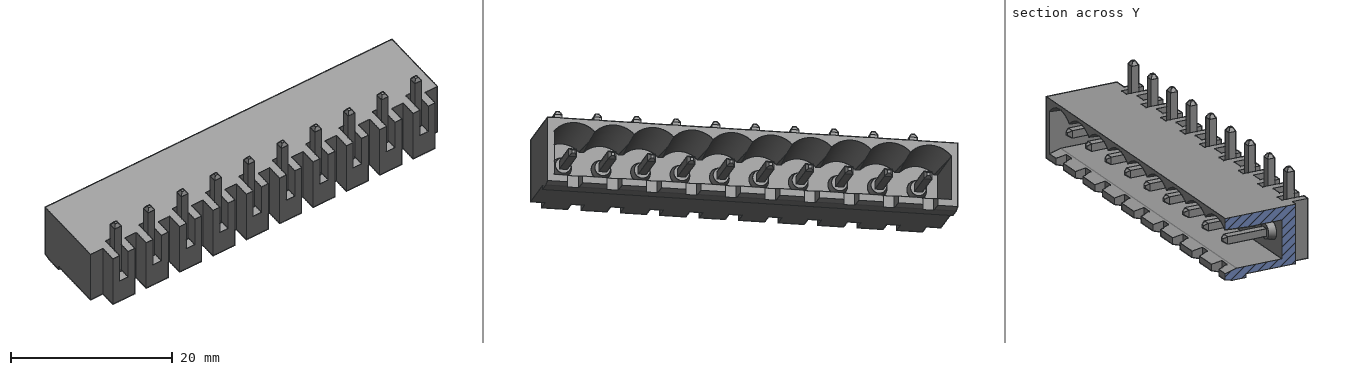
import cadquery as cq


pole_count = 10
pitch = 5.0
pole_positions = [(i - (pole_count - 1) / 2) * pitch for i in range(pole_count)]

end_margin = 3.5
housing_width = (pole_count - 1) * pitch + 2 * end_margin
housing_depth = 10.0
overall_depth = 12.2
foot_height = 0.5
foot_depth = 3.0
foot_lead_depth = 1.0
foot_lead_height = 0.27
housing_top = 8.5

block_width = 3.3
slot_width = 1.25
slot_front = 9.1

axis_height = 4.55
cavity_depth = 8.0
end_wall = 0.85
mouth_radius = 3.45
cavity_back_radius = 3.08
cavity_floor = 1.57
ceiling_flat = 6.7
lip_height = 1.14
lip_slope_depth = 1.6

notch_depth = 1.3
notch_front_width = 1.9
notch_back_width = 1.35

collar_base_radius = 1.25
collar_tip_radius = 1.0
collar_length = 1.0

pin_size = 1.0
pin_tip_size = 0.4
pin_tip_length = 0.5
contact_start = 1.0
solder_pin_x = 10.4
solder_pin_height = 4.0

ALONG_X = cq.Vector(1, 0, 0)


def box(x_range, y_range, z_range):
    """Axis-aligned box from its limits."""
    size = [limits[1] - limits[0] for limits in (x_range, y_range, z_range)]
    return cq.Workplane("XY").box(*size, centered=False).translate((x_range[0], y_range[0], z_range[0]))


def centred(width, middle=0.0):
    """Limits of a span of the given width about its middle."""
    return (middle - width / 2, middle + width / 2)


def extrude_along_y(outline, width):
    """Prism centred on Y = 0 from an outline of (x, z) points."""
    return cq.Workplane("XZ").polyline(outline).close().extrude(width / 2, both=True)


def cone_along_x(start_radius, end_radius, start_x, length, y):
    """Cone frustum on a pole axis."""
    base = cq.Vector(start_x, y, axis_height)
    return cq.Workplane(cq.Solid.makeCone(start_radius, end_radius, length, base, ALONG_X))


def make_shell():
    """Solid housing with its front foot and the rear blocks."""
    profile = [
        (0, foot_lead_height),
        (foot_lead_depth, 0),
        (foot_depth, 0),
        (foot_depth, foot_height),
        (housing_depth, foot_height),
        (housing_depth, housing_top),
        (0, housing_top),
    ]
    shell = extrude_along_y(profile, housing_width)
    for y in pole_positions:
        shell = shell.union(
            box((slot_front, overall_depth), centred(block_width, y), (foot_height, housing_top))
        )
    return shell


def make_cavity():
    """Mating cavity: flat floor and a ceiling of tapered arcs joined by flat strips."""
    inner_width = housing_width - 2 * end_wall
    cavity = box((0, cavity_depth), centred(inner_width), (cavity_floor, ceiling_flat))
    limits = box((0, cavity_depth), centred(inner_width), (cavity_floor, housing_top))
    for y in pole_positions:
        arch = cone_along_x(mouth_radius, cavity_back_radius, 0, cavity_depth, y)
        cavity = cavity.union(arch.intersect(limits))
    lip_wedge = [(0, lip_height), (lip_slope_depth, cavity_floor), (0, cavity_floor)]
    return cavity.union(extrude_along_y(lip_wedge, inner_width))


def make_notch(y):
    """Keying notch through the front lip, narrowing towards the back."""
    outline = [
        (0, y - notch_front_width / 2),
        (notch_depth, y - notch_back_width / 2),
        (notch_depth, y + notch_back_width / 2),
        (0, y + notch_front_width / 2),
    ]
    return cq.Workplane("XY").polyline(outline).close().extrude(cavity_floor)


def make_slot(y):
    """Slot for the solder pin, open at the top and the back."""
    floor = axis_height - pin_size / 2
    return box((slot_front, overall_depth), centred(slot_width, y), (floor, housing_top))


def square_pin(length):
    """Square pin standing on Z = 0 with a pyramidal tip at the top."""
    shank_length = length - pin_tip_length
    shank = cq.Workplane("XY").rect(pin_size, pin_size).extrude(shank_length)
    tip = (
        cq.Workplane("XY", origin=(0, 0, shank_length))
        .rect(pin_size, pin_size)
        .workplane(offset=pin_tip_length)
        .rect(pin_tip_size, pin_tip_size)
        .loft(ruled=True)
    )
    return shank.union(tip)


def make_pin(y):
    """Right-angled pin: contact towards the mouth, solder leg upwards."""
    contact_end = solder_pin_x + pin_size / 2
    contact = square_pin(contact_end - contact_start).rotate((0, 0, 0), (0, 1, 0), -90)
    contact = contact.translate((contact_end, y, axis_height))
    leg_bottom = axis_height - pin_size / 2
    leg = square_pin(housing_top + solder_pin_height - leg_bottom)
    return contact.union(leg.translate((solder_pin_x, y, leg_bottom)))


def make_collar(y):
    """Tapered collar around a contact on the cavity's back wall."""
    start = cavity_depth - collar_length
    return cone_along_x(collar_tip_radius, collar_base_radius, start, collar_length, y)


result = make_shell().cut(make_cavity())
for pole_y in pole_positions:
    result = result.cut(make_notch(pole_y)).cut(make_slot(pole_y))
    result = result.union(make_collar(pole_y)).union(make_pin(pole_y))